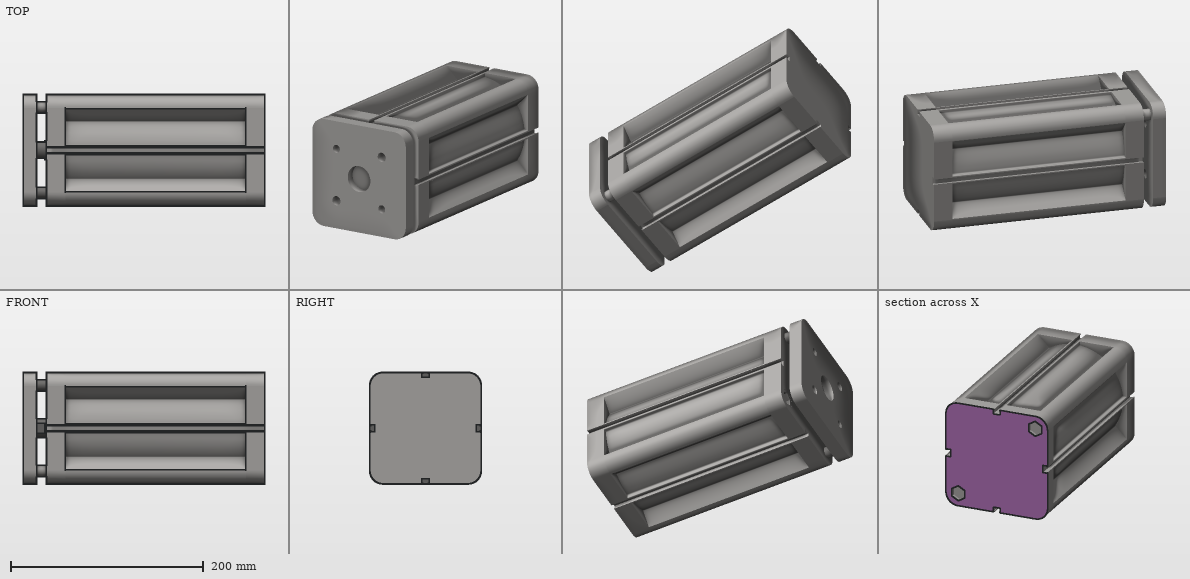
import cadquery as cq
import math

length = 251.0
plate_thickness = 14.0
plate_gap = 10.0
cap_thickness = 19.8
housing_start = plate_thickness + plate_gap
profile_start = housing_start + cap_thickness
profile_end = length - cap_thickness
profile_length = profile_end - profile_start

side = 116.0
half_side = side / 2
side_count = 4
cap_corner_radius = 14.0
lobe_flank_start = 43.2
barrel_radius = 53.7
lobe_foot_fillet = 1.0
slot_mouth_width = 5.5
slot_lip = 1.0
slot_cavity_width = 7.5
slot_depth = 5.3
rib_width = 9.0
rib_top_fillet = 0.8
rib_foot_fillet = 1.5
match_tolerance = 0.03

guide_corners = [(1, 1), (-1, -1)]
screw_corners = [(-1, 1), (1, -1)]

screw_offset = 43.7
screw_seat_diameter = 20.0
screw_seat_depth = 0.3
hex_across_flats = 14.0
hex_depth = 9.0

guide_offset = 44.5
guide_rod_diameter = 12.0
piston_rod_diameter = 20.0
piston_across_flats = 17.0
piston_flat_end = 22.5

recess_diameter = 28.0
recess_depth = 9.0
mount_offset = 28.0
mount_small_diameter = 8.5
mount_large_diameter = 10.0


def yz_plane(x):
    """Workplane at the given X, with sketch axes along +Y and +Z and normal along +X."""
    return cq.Workplane("YZ", origin=(x, 0, 0))


def corner_points(signs, offset):
    return [(y_sign * offset, z_sign * offset) for y_sign, z_sign in signs]


def rounded_block(x, thickness):
    block = yz_plane(x).rect(side, side).extrude(thickness)
    return block.edges("|X").fillet(cap_corner_radius)


def turned(body, quarter):
    """Rotate a body about the X axis by a number of quarter turns."""
    return body.rotate((0, 0, 0), (1, 0, 0), 90 * quarter)


def lobe():
    """Corner lobe on +Y +Z: rounded outside, with 45 degree flanks running in to the barrel."""
    arc_centre = half_side - cap_corner_radius
    arc_mid = arc_centre + cap_corner_radius * math.sqrt(0.5)
    flank_top = arc_centre + math.sqrt(cap_corner_radius**2 - (arc_centre - lobe_flank_start) ** 2)
    flank_axis = flank_top - lobe_flank_start
    outline = (
        yz_plane(profile_start)
        .moveTo(-flank_axis, 0)
        .lineTo(lobe_flank_start, flank_top)
        .threePointArc((arc_mid, arc_mid), (flank_top, lobe_flank_start))
        .lineTo(0, -flank_axis)
        .close()
    )
    return outline.extrude(profile_length)


def rib():
    """Upright block on the +Z side that carries the sensor slot."""
    block = (
        yz_plane(profile_start)
        .center(0, half_side / 2)
        .rect(rib_width, half_side)
        .extrude(profile_length)
    )
    return block.edges("|X and >Z").fillet(rib_top_fillet)


def foot_edges(body, nearest, farthest):
    """Lengthwise edges on the barrel whose smaller coordinate lies within the given band."""
    def wanted(edge):
        centre = edge.Center()
        near = min(abs(centre.y), abs(centre.z))
        on_barrel = abs(math.hypot(centre.y, centre.z) - barrel_radius) < match_tolerance
        return on_barrel and nearest < near < farthest
    return body.newObject([edge for edge in body.edges("|X").vals() if wanted(edge)])


def make_profile():
    profile = yz_plane(profile_start).circle(barrel_radius).extrude(profile_length)
    for quarter in range(side_count):
        profile = profile.union(turned(lobe(), quarter)).union(turned(rib(), quarter))
    profile = foot_edges(profile, 0, rib_width).fillet(rib_foot_fillet)
    return foot_edges(profile, rib_width, half_side).fillet(lobe_foot_fillet)


def sensor_slot():
    """T-shaped cutter for the +Z side, running through both caps and the profile."""
    slot_length = length - housing_start
    cavity_height = slot_depth - slot_lip
    mouth = (
        yz_plane(housing_start)
        .center(0, half_side - slot_depth / 2)
        .rect(slot_mouth_width, slot_depth)
        .extrude(slot_length)
    )
    cavity = (
        yz_plane(housing_start)
        .center(0, half_side - slot_depth + cavity_height / 2)
        .rect(slot_cavity_width, cavity_height)
        .extrude(slot_length)
    )
    return mouth.union(cavity)


def screw_recess(y, z):
    """Shallow round seat with a hexagon socket whose flats face along Y."""
    hex_across_corners = hex_across_flats / math.cos(math.pi / 6)
    face = yz_plane(housing_start).center(y, z)
    seat = face.circle(screw_seat_diameter / 2).extrude(screw_seat_depth)
    socket = face.transformed(rotate=(0, 0, 30)).polygon(6, hex_across_corners).extrude(hex_depth)
    return seat.union(socket)


def with_sensor_slots(body):
    for quarter in range(side_count):
        body = body.cut(turned(sensor_slot(), quarter))
    return body


def make_front_cap():
    cap = with_sensor_slots(rounded_block(housing_start, cap_thickness))
    for y, z in corner_points(screw_corners, screw_offset):
        cap = cap.cut(screw_recess(y, z))
    return cap


def make_housing():
    """Profile and end caps as one solid, keeping the face edges at the cap joints."""
    profile = with_sensor_slots(make_profile())
    rear_cap = with_sensor_slots(rounded_block(profile_end, cap_thickness))
    return profile.union(make_front_cap(), clean=False).union(rear_cap, clean=False)


def make_yoke_plate():
    plate = rounded_block(0, plate_thickness)
    plate = plate.cut(yz_plane(0).circle(recess_diameter / 2).extrude(recess_depth))
    for signs, diameter in ((guide_corners, mount_small_diameter), (screw_corners, mount_large_diameter)):
        places = corner_points(signs, mount_offset)
        plate = plate.cut(yz_plane(0).pushPoints(places).circle(diameter / 2).extrude(plate_thickness))
    return plate


def make_piston_rod():
    rod = yz_plane(plate_thickness).circle(piston_rod_diameter / 2).extrude(plate_gap)
    flat_length = piston_flat_end - plate_thickness
    flatted = yz_plane(plate_thickness).rect(piston_across_flats, piston_rod_diameter).extrude(flat_length)
    collar = yz_plane(piston_flat_end).circle(piston_rod_diameter / 2).extrude(housing_start - piston_flat_end)
    return rod.intersect(flatted.union(collar))


def make_guide_rod(y, z):
    return yz_plane(plate_thickness).center(y, z).circle(guide_rod_diameter / 2).extrude(plate_gap)


housing = make_housing()
yoke_plate = make_yoke_plate()
piston_rod = make_piston_rod()
guide_rods = [make_guide_rod(y, z) for y, z in corner_points(guide_corners, guide_offset)]

result = cq.Compound.makeCompound(
    [housing.val(), yoke_plate.val(), piston_rod.val(), *[rod.val() for rod in guide_rods]]
)